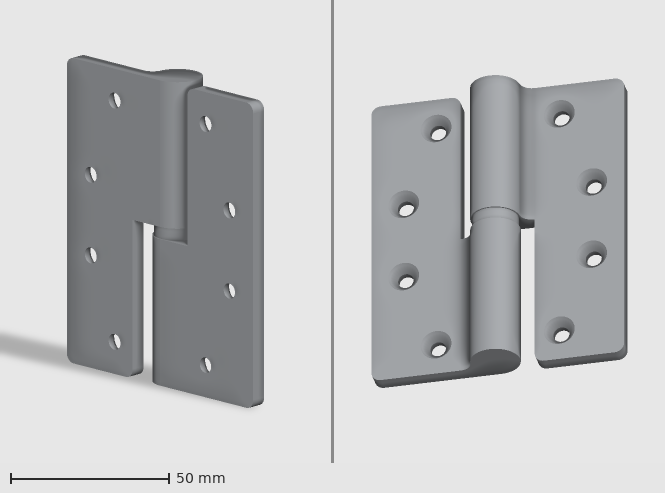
import cadquery as cq
import math

hinge_height = 100.0
hinge_width = 82.0
knuckle_diameter = 16.0
leaf_thickness = 5.0
corner_radius = 3.0
root_radius = 4.0

knuckle_gap = 4.0
side_gap = 4.0
collar_diameter = 15.0

hole_diameter = 5.2
narrow_hole_diameter = 5.0
countersink_diameter = 10.0
countersink_depth = 2.9
inner_hole_x = 20.0
outer_hole_x = 30.5
inner_hole_z = 39.5
outer_hole_z = 13.2

half_height = hinge_height / 2
half_width = hinge_width / 2
knuckle_radius = knuckle_diameter / 2
knuckle_end = knuckle_gap / 2
knuckle_length = half_height - knuckle_end
relief_x = knuckle_radius + side_gap
leaf_back = -knuckle_radius
leaf_front = leaf_back + leaf_thickness


def leaf_plate():
    """Full-height flat plate left of the relief, with rounded corners."""
    width = half_width - relief_x
    return (
        cq.Workplane("XY")
        .box(width, leaf_thickness, hinge_height, centered=False)
        .translate((-half_width, leaf_back, -half_height))
        .edges("|Y")
        .fillet(corner_radius)
    )


def knuckle_arm():
    """Upper half profile: round knuckle, tangent root blend and flat arm."""
    root_y = leaf_front + root_radius
    center_distance = knuckle_radius + root_radius
    root_x = -math.sqrt(center_distance**2 - root_y**2)
    blend_share = knuckle_radius / center_distance
    touch = (root_x * blend_share, root_y * blend_share)
    touch_angle = math.atan2(-root_y, -root_x)
    middle_angle = (touch_angle - math.pi / 2) / 2
    blend_middle = (
        root_x + root_radius * math.cos(middle_angle),
        root_y + root_radius * math.sin(middle_angle),
    )
    knuckle_start = math.atan2(touch[1], touch[0])
    knuckle_middle = (knuckle_start - math.pi / 2) / 2
    arm_start = -half_width + corner_radius
    return (
        cq.Workplane("XY")
        .workplane(offset=knuckle_end)
        .moveTo(arm_start, leaf_back)
        .lineTo(arm_start, leaf_front)
        .lineTo(root_x, leaf_front)
        .threePointArc(blend_middle, touch)
        .threePointArc(
            (knuckle_radius * math.cos(knuckle_middle), knuckle_radius * math.sin(knuckle_middle)),
            (0, leaf_back),
        )
        .close()
        .extrude(knuckle_length)
    )


def screw_hole(x, z, diameter):
    """Cutter for one through hole with its countersink."""
    mouth = cq.Vector(x, leaf_front, z)
    inward = cq.Vector(0, -1, 0)
    bore = cq.Solid.makeCylinder(diameter / 2, leaf_thickness, mouth, inward)
    countersink = cq.Solid.makeCone(
        countersink_diameter / 2, diameter / 2, countersink_depth, mouth, inward
    )
    return cq.Workplane(obj=bore).union(cq.Workplane(obj=countersink))


def hinge_leaf(upper_hole_diameter, lower_hole_diameter):
    """Leaf on the -X side carrying the upper knuckle, with four screw holes."""
    leaf = leaf_plate().union(knuckle_arm())
    for side, diameter in ((1, upper_hole_diameter), (-1, lower_hole_diameter)):
        leaf = leaf.cut(screw_hole(-inner_hole_x, side * inner_hole_z, diameter))
        leaf = leaf.cut(screw_hole(-outer_hole_x, side * outer_hole_z, diameter))
    return leaf


def collar():
    """Spacer disc between the ends of the two knuckles."""
    return (
        cq.Workplane("XY")
        .workplane(offset=-knuckle_end)
        .circle(collar_diameter / 2)
        .extrude(knuckle_gap)
    )


left_leaf = hinge_leaf(hole_diameter, hole_diameter)
right_leaf = (
    hinge_leaf(narrow_hole_diameter, hole_diameter)
    .rotate((0, 0, 0), (0, 1, 0), 180)
    .union(collar())
)

result = cq.Compound.makeCompound([left_leaf.val(), right_leaf.val()])